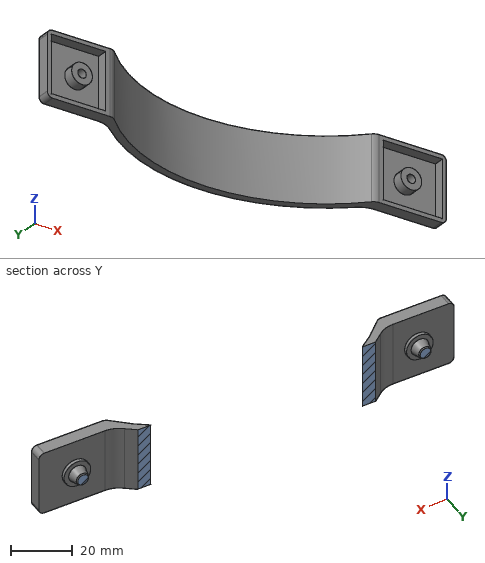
import cadquery as cq
import math

length = 155.0
width = 25.0
arch_height = 25.0
strap_thickness = 3.0
inner_radius = 69.8
outer_radius = inner_radius + strap_thickness
arch_center_y = arch_height - outer_radius

left_end = -76.5
right_end = left_end + length
pad_thickness = 4.8
pad_corner_radius = 2.0
inner_bend_radius = 3.1
outer_bend_radius = 9.3

pocket_depth = 4.0
rim = 1.5
pocket_inner_x = 54.0

stud_spacing = 127.9
left_stud_x = -63.1
stud_xs = (left_stud_x, left_stud_x + stud_spacing)
boss_diameter = 8.0
boss_hole_diameter = 3.3
boss_hole_depth = 4.0
flange_radius = 5.0
flange_height = 1.2
stud_base_radius = 3.3
stud_shoulder_radius = 2.3
stud_tip_radius = 1.9
stud_shoulder_height = 4.5
stud_height = 5.1


def arch_half_span(radius, y):
    """Half width of an arch circle at height y."""
    return math.sqrt(radius**2 - (y - arch_center_y) ** 2)


def make_strap():
    outer_x = arch_half_span(outer_radius, pad_thickness)
    inner_x = arch_half_span(inner_radius, 0)
    strap = (
        cq.Workplane("XY")
        .moveTo(left_end, 0)
        .lineTo(left_end, pad_thickness)
        .lineTo(-outer_x, pad_thickness)
        .threePointArc((0, arch_height), (outer_x, pad_thickness))
        .lineTo(right_end, pad_thickness)
        .lineTo(right_end, 0)
        .lineTo(inner_x, 0)
        .threePointArc((0, arch_height - strap_thickness), (-inner_x, 0))
        .close()
        .extrude(width / 2, both=True)
    )
    for x, y, radius in (
        (inner_x, 0, inner_bend_radius),
        (outer_x, pad_thickness, outer_bend_radius),
    ):
        for side in (-1, 1):
            bend = cq.selectors.NearestToPointSelector((side * x, y, 0))
            strap = strap.edges("|Z").edges(bend).fillet(radius)
    return strap.edges("|Y").edges("<X or >X").fillet(pad_corner_radius)


def make_pocket(x_start, x_end):
    return (
        cq.Workplane("XY")
        .box(x_end - x_start, pocket_depth, width - 2 * rim, centered=(False, False, True))
        .translate((x_start, 0, 0))
    )


def make_boss(x):
    """Cylinder from the pocket floor to the wall side."""
    return (
        cq.Workplane("XZ", origin=(x, 0, 0))
        .circle(boss_diameter / 2)
        .extrude(-pad_thickness)
    )


def make_boss_hole(x):
    return (
        cq.Workplane("XZ", origin=(x, 0, 0))
        .circle(boss_hole_diameter / 2)
        .extrude(-boss_hole_depth)
    )


def make_stud(x):
    """Flange and tapered stud with a bevelled tip, turned about Y."""
    return (
        cq.Workplane("XY", origin=(x, pad_thickness, 0))
        .polyline([
            (0, 0),
            (flange_radius, 0),
            (flange_radius, flange_height),
            (stud_base_radius, flange_height),
            (stud_shoulder_radius, stud_shoulder_height),
            (stud_tip_radius, stud_height),
            (0, stud_height),
        ])
        .close()
        .revolve(360, (0, 0, 0), (0, 1, 0))
    )


result = make_strap()
result = result.cut(make_pocket(left_end + rim, -pocket_inner_x))
result = result.cut(make_pocket(pocket_inner_x, right_end - rim))
for stud_x in stud_xs:
    result = result.union(make_boss(stud_x))
    result = result.union(make_stud(stud_x))
    result = result.cut(make_boss_hole(stud_x))